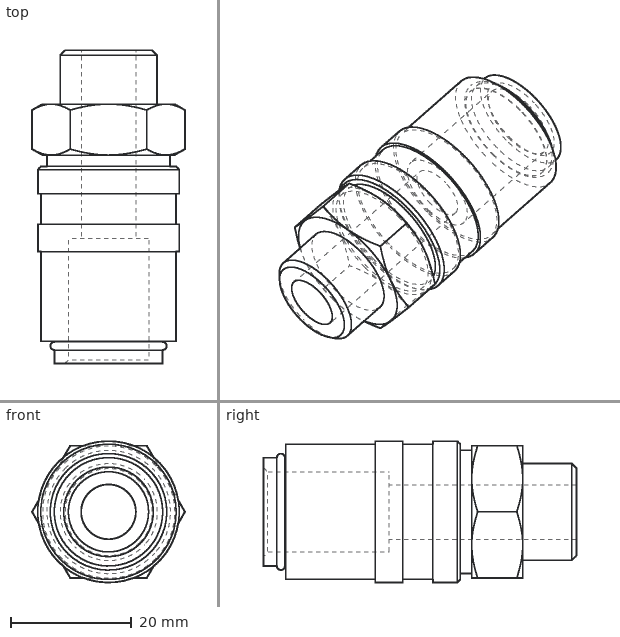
import cadquery as cq
import math

length = 52.0

lip_radius = 9.0
bead_height = 0.7
bead_center = 2.9

sleeve_start = 3.7
sleeve_radius = 11.25
band_radius = 11.75
front_band_start = 18.55
front_band_end = 23.15
rear_band_start = 28.15
rear_band_end = 32.7
band_chamfer = 0.5

neck_radius = 10.25
hex_start = 34.6
hex_end = 43.05
hex_across_flats = 22.0
hex_across_corners = hex_across_flats / math.cos(math.pi / 6)
hex_face_radius = 10.95
hex_chamfer_angle = 30.0
stub_radius = 8.05
stub_chamfer = 0.85

bore_radius = 4.5
socket_radius = 6.65
mouth_radius = 7.45
mouth_chamfer_depth = 0.6
socket_depth = 20.8


def cylinder(radius, start, end):
    """Solid cylinder on the Y axis between two Y positions."""
    return cq.Workplane("XZ", origin=(0, start, 0)).circle(radius).extrude(start - end)


def revolve_about_y(profile):
    return profile.close().revolve(360, (0, 0, 0), (0, 1, 0))


def make_turned_body():
    lip = revolve_about_y(
        cq.Workplane("XY")
        .lineTo(lip_radius, 0)
        .lineTo(lip_radius, bead_center - bead_height)
        .threePointArc(
            (lip_radius + bead_height, bead_center),
            (lip_radius, bead_center + bead_height),
        )
        .lineTo(lip_radius, sleeve_start)
        .lineTo(0, sleeve_start)
    )
    sleeve = cylinder(sleeve_radius, sleeve_start, rear_band_start)
    front_band = cylinder(band_radius, front_band_start, front_band_end)
    rear_band = cylinder(band_radius, rear_band_start, rear_band_end)
    rear_band = rear_band.faces(">Y").chamfer(band_chamfer)
    neck = cylinder(neck_radius, rear_band_end, hex_start)
    stub = cylinder(stub_radius, hex_end, length).faces(">Y").chamfer(stub_chamfer)
    return lip.union(sleeve).union(front_band).union(rear_band).union(neck).union(stub)


def make_hexagon():
    """Hexagon with corners on the X axis, its corners bevelled at both ends."""
    prism = (
        cq.Workplane("XZ", origin=(0, hex_start, 0))
        .polygon(6, hex_across_corners)
        .extrude(hex_start - hex_end)
    )
    corner_radius = hex_across_corners / 2
    bevel_length = (corner_radius - hex_face_radius) * math.tan(math.radians(hex_chamfer_angle))
    envelope = revolve_about_y(
        cq.Workplane("XY")
        .moveTo(0, hex_start)
        .lineTo(hex_face_radius, hex_start)
        .lineTo(corner_radius, hex_start + bevel_length)
        .lineTo(corner_radius, hex_end - bevel_length)
        .lineTo(hex_face_radius, hex_end)
        .lineTo(0, hex_end)
    )
    return prism.intersect(envelope)


def make_cavity():
    socket = revolve_about_y(
        cq.Workplane("XY")
        .lineTo(mouth_radius, 0)
        .lineTo(socket_radius, mouth_chamfer_depth)
        .lineTo(socket_radius, socket_depth)
        .lineTo(0, socket_depth)
    )
    return socket.union(cylinder(bore_radius, 0, length))


result = make_turned_body().union(make_hexagon()).cut(make_cavity())